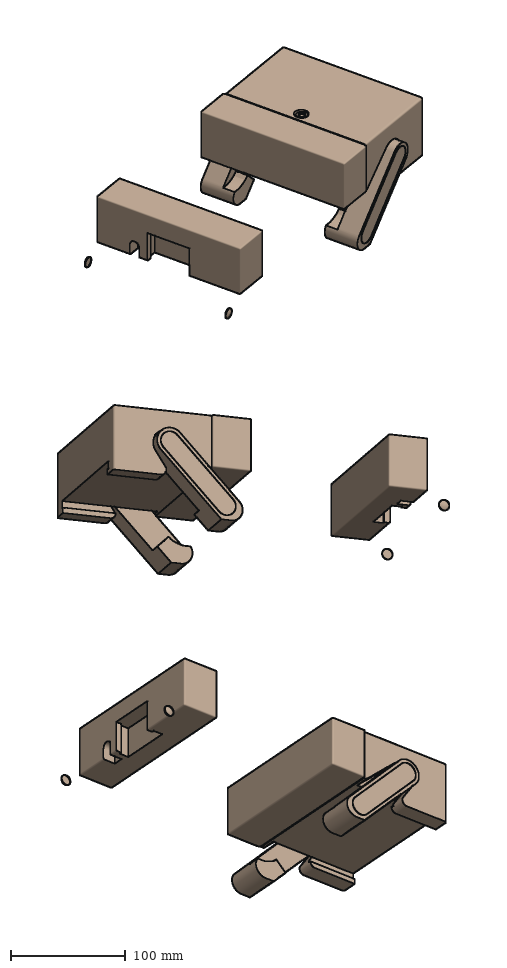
import cadquery as cq
import math


CAP_WIDTH = 150.5
CAP_DEPTH = 36.0
CAP_HEIGHT = 48.0
CAP_FILLET = 1.4
LOOSE_CAP_BACK_Y = -163.0

NOTCH_WIDTH = 44.0
NOTCH_HEIGHT = 29.2
NOTCH_WALL = 5.5
CAVITY_DEPTH = 15.0
CAVITY_MARGIN = 2.2
CABLE_SLOT_WIDTH = 9.5
CABLE_SLOT_HEIGHT = 15.5
CABLE_SLOT_DEPTH = 12.5
CABLE_SLOT_X = -35.5

HOUSING_WIDTH = 146.8
HOUSING_LENGTH = 91.0
HOUSING_FILLET = 2.0
EAR_DROP = 11.5
EAR_NOSE_RADIUS = 5.0
LIP_HEIGHT = 5.0
LIP_REACH = 2.2

RECESS_Y = 9.5
RECESS_RIM_DIAMETER = 13.0
RECESS_BORE_DIAMETER = 10.5
RECESS_TIP_DIAMETER = 6.2
RECESS_STEP_DEPTH = 1.5
RECESS_OFFSET = 1.0

OVERALL_WIDTH = 164.0
PIVOT_Y = 41.3
PIVOT_Z = 17.0
LEVER_RADIUS = 12.5
LEVER_ANGLE = 46
LEVER_BOTTOM_Z = -49.3
LEVER_TIP_RADIUS = 10.5
LEVER_TIP_Y = -15.0
LEVER_INNER_X = 60.0
FOOT_INNER_X = 47.8
SEAT_LIP_ANGLE = 36
SEAT_FRONT_Y = -16.8
SEAT_MID_Y = -6.8
SEAT_MID_Z = -29.2
SEAT_SAG = 0.45
SEAT_BACK_Y = -3.0
SEAT_BACK_Z = -26.0
LABEL_MARGIN = 3.5
LABEL_LENGTH = 73.8
LABEL_DEPTH = 0.3
SLOT_RADIUS = 13.0
SLOT_UPPER_ANGLE = 42
SLOT_LOWER_ANGLE = 56

DISC_DIAMETER = 9.5
DISC_RIM_THICKNESS = 1.0
DISC_DOME_HEIGHT = 1.2
DISC_Z = -11.2
OVERALL_LENGTH = 310.3
DISC_FRONT_Y = HOUSING_LENGTH - OVERALL_LENGTH

lever_outer_x = OVERALL_WIDTH / 2
housing_side_x = HOUSING_WIDTH / 2
SIDES = (-1, 1)


def box(x_range, y_range, z_range):
    """Axis-aligned box between pairs of coordinates."""
    size = [high - low for low, high in (x_range, y_range, z_range)]
    corner = (x_range[0], y_range[0], z_range[0])
    return cq.Workplane("XY").box(*size, centered=False).translate(corner)


def side_plane(x):
    """Sketch plane at a given X, with local axes Y and Z, extruding toward +X."""
    return cq.Workplane("YZ", origin=(x, 0, 0))


def on_side(solid, side):
    """A shape made on the +X side, mirrored for side -1."""
    return solid if side > 0 else solid.mirror("YZ")


def along_pivot(distance, offset, angle=LEVER_ANGLE):
    """(y, z) at a distance down a line falling forward from the pivot, offset upward across it."""
    a = math.radians(angle)
    y = PIVOT_Y - distance * math.cos(a) - offset * math.sin(a)
    z = PIVOT_Z - distance * math.sin(a) + offset * math.cos(a)
    return y, z


def down_to(z, offset, angle=LEVER_ANGLE):
    """(y, z) where the line at an offset beside the pivot line reaches height z."""
    a = math.radians(angle)
    return along_pivot((PIVOT_Z + offset * math.cos(a) - z) / math.sin(a), offset, angle)


def under_arm(y, z):
    """(y, z) on the lower edge of the lever, square across the lever from a given point."""
    a = math.radians(LEVER_ANGLE)
    distance = (PIVOT_Y - y) * math.cos(a) + (PIVOT_Z - z) * math.sin(a)
    return along_pivot(distance, -LEVER_RADIUS)


def tip_point(angle):
    """(y, z) on the rounded lever tip, at an angle above the forward direction."""
    a = math.radians(angle)
    center_z = LEVER_BOTTOM_Z + LEVER_TIP_RADIUS
    return LEVER_TIP_Y - LEVER_TIP_RADIUS * math.cos(a), center_z + LEVER_TIP_RADIUS * math.sin(a)


def make_cap(back_y):
    half = CAP_WIDTH / 2
    block = box((-half, half), (back_y - CAP_DEPTH, back_y), (0, CAP_HEIGHT))
    return block.edges().fillet(CAP_FILLET)


def make_loose_cap():
    """Cap with a notch that opens into a wider cavity, and a round-topped cable slot."""
    front_y = LOOSE_CAP_BACK_Y - CAP_DEPTH
    half = NOTCH_WIDTH / 2
    cavity_half = half + CAVITY_MARGIN
    notch = box((-half, half), (front_y, front_y + NOTCH_WALL), (0, NOTCH_HEIGHT))
    cavity = box(
        (-cavity_half, cavity_half),
        (front_y + NOTCH_WALL, front_y + CAVITY_DEPTH),
        (0, NOTCH_HEIGHT),
    )
    radius = CABLE_SLOT_WIDTH / 2
    arch_z = CABLE_SLOT_HEIGHT - radius
    cable_slot = (
        cq.Workplane("XZ", origin=(CABLE_SLOT_X, front_y, 0))
        .moveTo(-radius, 0)
        .lineTo(-radius, arch_z)
        .threePointArc((0, CABLE_SLOT_HEIGHT), (radius, arch_z))
        .lineTo(radius, 0)
        .close()
        .extrude(-CABLE_SLOT_DEPTH)
    )
    return make_cap(LOOSE_CAP_BACK_Y).cut(notch).cut(cavity).cut(cable_slot)


def make_ear():
    """Lower side wall of the housing on the +X side, with a rounded nose and an inward lip."""
    throat = down_to(0, -SLOT_RADIUS, SLOT_LOWER_ANGLE)
    nose = down_to(-EAR_DROP, -SLOT_RADIUS, SLOT_LOWER_ANGLE)
    outline = [throat, nose, (HOUSING_LENGTH, -EAR_DROP), (HOUSING_LENGTH, 0)]
    wall = side_plane(LEVER_INNER_X).polyline(outline).close()
    wall = wall.extrude(housing_side_x - LEVER_INNER_X)
    lip = side_plane(LEVER_INNER_X - LIP_REACH).polyline(outline).close().extrude(LIP_REACH)
    above_lip = box((0, LEVER_INNER_X), (nose[0], HOUSING_LENGTH), (LIP_HEIGHT - EAR_DROP, 0))
    ear = wall.union(lip.cut(above_lip))
    nose_edge = cq.selectors.NearestToPointSelector((LEVER_INNER_X, *nose))
    return ear.edges("|X").edges(nose_edge).fillet(EAR_NOSE_RADIUS)


def make_swing_slot():
    """Fan-shaped slot around the lever on the +X side."""
    outline = (
        side_plane(LEVER_INNER_X)
        .moveTo(*along_pivot(0, SLOT_RADIUS, SLOT_UPPER_ANGLE))
        .threePointArc(along_pivot(-SLOT_RADIUS, 0), along_pivot(0, -SLOT_RADIUS, SLOT_LOWER_ANGLE))
        .lineTo(*down_to(0, -SLOT_RADIUS, SLOT_LOWER_ANGLE))
        .lineTo(*down_to(0, SLOT_RADIUS, SLOT_UPPER_ANGLE))
        .close()
    )
    return outline.extrude(housing_side_x - LEVER_INNER_X)


def make_arm():
    """Lever arm on the +X side: round at the pivot, flat below, rounded at the front tip."""
    return (
        side_plane(LEVER_INNER_X)
        .moveTo(*along_pivot(0, LEVER_RADIUS))
        .threePointArc(along_pivot(-LEVER_RADIUS, 0), along_pivot(0, -LEVER_RADIUS))
        .lineTo(*down_to(LEVER_BOTTOM_Z, -LEVER_RADIUS))
        .lineTo(*tip_point(-90))
        .threePointArc(tip_point(0), tip_point(90 - LEVER_ANGLE))
        .close()
        .extrude(lever_outer_x - LEVER_INNER_X)
    )


def make_foot():
    """Inward foot at the lever tip, with a hollowed seat behind a level lip."""
    lip = tip_point(SEAT_LIP_ANGLE)
    seat_center = ((SEAT_FRONT_Y + SEAT_MID_Y) / 2, (lip[1] + SEAT_MID_Z) / 2 - SEAT_SAG)
    return (
        side_plane(FOOT_INNER_X)
        .moveTo(*under_arm(SEAT_BACK_Y, SEAT_BACK_Z))
        .lineTo(*down_to(LEVER_BOTTOM_Z, -LEVER_RADIUS))
        .lineTo(*tip_point(-90))
        .threePointArc(tip_point(0), lip)
        .lineTo(SEAT_FRONT_Y, lip[1])
        .threePointArc(seat_center, (SEAT_MID_Y, SEAT_MID_Z))
        .lineTo(SEAT_BACK_Y, SEAT_BACK_Z)
        .close()
        .extrude(LEVER_INNER_X - FOOT_INNER_X)
    )


def make_label_recess():
    radius = LEVER_RADIUS - LABEL_MARGIN
    return (
        side_plane(lever_outer_x - LABEL_DEPTH)
        .moveTo(*along_pivot(0, radius))
        .threePointArc(along_pivot(-radius, 0), along_pivot(0, -radius))
        .lineTo(*along_pivot(LABEL_LENGTH, -radius))
        .threePointArc(along_pivot(LABEL_LENGTH + radius, 0), along_pivot(LABEL_LENGTH, radius))
        .close()
        .extrude(LABEL_DEPTH)
    )


def make_top_recess():
    """Conical rim narrowing to an off-center circle, with a smaller round step below it."""
    top_face = cq.Workplane("XY", origin=(0, RECESS_Y, CAP_HEIGHT))
    rim = (
        top_face.circle(RECESS_RIM_DIAMETER / 2)
        .workplane(offset=-RECESS_STEP_DEPTH)
        .center(0, RECESS_OFFSET)
        .circle(RECESS_BORE_DIAMETER / 2)
        .loft()
    )
    tip = (
        top_face.center(0, RECESS_OFFSET)
        .circle(RECESS_TIP_DIAMETER / 2)
        .extrude(-2 * RECESS_STEP_DEPTH)
    )
    return rim.union(tip)


def make_housing():
    x_range = (-housing_side_x, housing_side_x)
    y_range = (0, HOUSING_LENGTH)
    envelope = box(x_range, y_range, (-EAR_DROP, CAP_HEIGHT))
    envelope = envelope.edges("(>Z and (not <Y)) or (|Z and >Y)").fillet(HOUSING_FILLET)
    housing = box(x_range, y_range, (0, CAP_HEIGHT))
    for side in SIDES:
        housing = housing.union(on_side(make_ear(), side))
    housing = housing.intersect(envelope)
    housing = housing.cut(make_top_recess())
    for side in SIDES:
        lever = make_arm().cut(make_label_recess()).union(make_foot())
        housing = housing.cut(on_side(make_swing_slot(), side)).union(on_side(lever, side))
    return housing


def make_disc():
    """Disc on the +X side with its domed face outward."""
    radius = DISC_DIAMETER / 2
    rim_x = CAP_WIDTH / 2 - DISC_DOME_HEIGHT
    dome_radius = (radius**2 + DISC_DOME_HEIGHT**2) / (2 * DISC_DOME_HEIGHT)
    half_angle = math.asin(radius / dome_radius)
    dome_x = CAP_WIDTH / 2 - dome_radius * (1 - math.cos(half_angle / 2))
    profile = (
        cq.Workplane("XY")
        .moveTo(rim_x - DISC_RIM_THICKNESS, 0)
        .lineTo(rim_x - DISC_RIM_THICKNESS, radius)
        .lineTo(rim_x, radius)
        .threePointArc((dome_x, dome_radius * math.sin(half_angle / 2)), (CAP_WIDTH / 2, 0))
        .close()
    )
    disc = profile.revolve(360, (0, 0, 0), (1, 0, 0))
    return disc.translate((0, DISC_FRONT_Y + radius, DISC_Z))


front_cap = make_cap(0)
loose_cap = make_loose_cap()
housing = make_housing()
discs = [on_side(make_disc(), side) for side in SIDES]

result = cq.Compound.makeCompound(
    [housing.val(), front_cap.val(), loose_cap.val(), *[disc.val() for disc in discs]]
)